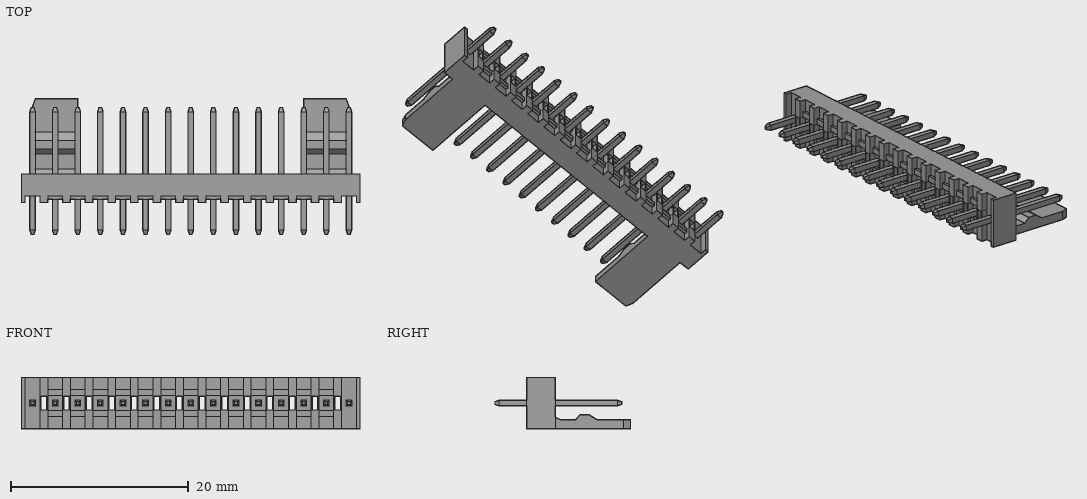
import cadquery as cq

length = 38.1
height = 5.8
depth = 3.25
pin_count = 15
pitch = length / pin_count
mid_height = height / 2

rib_width = 0.88
pocket_width = pitch - rib_width
pocket_depth = 0.72
floor_y = pocket_depth - depth

crossbar_height = 0.7
crossbar_offset = 1.2
crossbar_thickness = 0.35

window_width = 0.6
window_height = 1.52

pin_size = 0.65
pin_tip_size = 0.3
pin_taper = 0.5
pin_back_y = 7.45
pin_front_y = -6.82

latch_length = 8.45
latch_width = 2 * pitch
latch_thickness = 1.03
latch_corner_x = 0.3
latch_corner_y = 0.85
latch_root_height = 1.3
latch_root_length = 0.57
bump_height = 1.6
bump_front_start = 2.25
bump_front_end = 2.8
bump_back_end = 3.77
bump_back_start = 4.7

pin_positions = [(i - (pin_count - 1) / 2) * pitch for i in range(pin_count)]
rib_positions = [x + pitch / 2 for x in pin_positions[:-1]]


def box(x_size, y_size, z_size, x, y_front, z):
    """Box centred on x and z, running back from y_front."""
    block = cq.Workplane("XY").box(x_size, y_size, z_size, centered=(True, False, True))
    return block.translate((x, y_front, z))


def make_housing():
    """Block with a pocket at every pin, crossbars at the inner pins and windows at the ribs."""
    housing = box(length, depth, height, 0, -depth, mid_height)
    for x in pin_positions:
        housing = housing.cut(box(pocket_width, pocket_depth, height, x, -depth, mid_height))
    for x in pin_positions[1:-1]:
        for z in (mid_height - crossbar_offset, mid_height + crossbar_offset):
            crossbar_front = floor_y - crossbar_thickness
            bar_depth = -depth / 2 - crossbar_front
            housing = housing.union(box(pocket_width, bar_depth, crossbar_height, x, crossbar_front, z))
    for x in rib_positions:
        housing = housing.cut(box(window_width, depth, window_height, x, -depth, mid_height))
    return housing


def pin_taper_end(y_start, y_tip):
    """Tapered pin end narrowing from y_start to y_tip."""
    return (
        cq.Workplane("XZ", origin=(0, y_start, mid_height))
        .rect(pin_size, pin_size)
        .workplane(offset=y_start - y_tip)
        .rect(pin_tip_size, pin_tip_size)
        .loft(ruled=True)
    )


def make_pin():
    """Pin on X = 0, tapered at both ends."""
    shank_front = pin_front_y + pin_taper
    shank_back = pin_back_y - pin_taper
    shank = box(pin_size, shank_back - shank_front, pin_size, 0, shank_front, mid_height)
    return shank.union(pin_taper_end(shank_front, pin_front_y)).union(pin_taper_end(shank_back, pin_back_y))


def make_left_latch():
    """Latch arm from the first pin to the third, with a locking bump and a bevelled outer corner."""
    outer_x = pin_positions[0]
    profile = [
        (0, 0),
        (latch_length, 0),
        (latch_length, latch_thickness),
        (bump_back_start, latch_thickness),
        (bump_back_end, bump_height),
        (bump_front_end, bump_height),
        (bump_front_start, latch_thickness),
        (latch_root_length, latch_thickness),
        (0, latch_root_height),
    ]
    arm = cq.Workplane("YZ", origin=(outer_x, 0, 0)).polyline(profile).close().extrude(latch_width)
    corner = (
        cq.Workplane("XY")
        .moveTo(outer_x, latch_length)
        .lineTo(outer_x + latch_corner_x, latch_length)
        .lineTo(outer_x, latch_length - latch_corner_y)
        .close()
        .extrude(latch_thickness)
    )
    return arm.cut(corner)


left_latch = make_left_latch()
result = make_housing().union(left_latch).union(left_latch.mirror("YZ"))
pin = make_pin()
for pin_x in pin_positions:
    result = result.union(pin.translate((pin_x, 0, 0)))